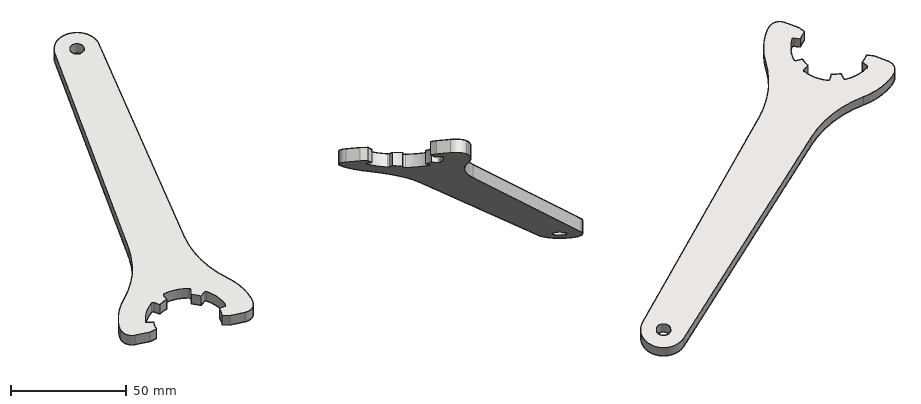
import cadquery as cq
import math

length = 185.0
thickness = 6.0
half_width = 30.0

end_radius = 10.0
hole_diameter = 6.3
handle_end_x = 122.8
handle_end_half_width = 12.5
tip_x = length - end_radius

flare_end = (152.6, 23.5)
shoulder_top_x = 167.8
corner_radius = 5.2

jaw_x = 171.9
jaw_radius = 18.5
tooth_tip_radius = 15.0
tooth_tip_half_width = 2.2
tooth_flank_angle = 17.0
tooth_angles = (90, 150, 210, 270)
root_fillet = 0.7


def half_plate():
    """Solid outline on the +Y side of the centre line, before the mouth is cut."""
    rise = handle_end_half_width
    distance = math.hypot(handle_end_x, rise)
    edge_angle = math.atan2(rise, handle_end_x) + math.acos(end_radius / distance)
    tangent_point = (end_radius * math.cos(edge_angle), end_radius * math.sin(edge_angle))
    middle_angle = (edge_angle + math.pi) / 2
    end_middle = (end_radius * math.cos(middle_angle), end_radius * math.sin(middle_angle))
    return (
        cq.Workplane("XY")
        .moveTo(-end_radius, 0)
        .threePointArc(end_middle, tangent_point)
        .lineTo(handle_end_x, handle_end_half_width)
        .tangentArcPoint(flare_end, relative=False)
        .tangentArcPoint((shoulder_top_x, half_width), relative=False)
        .lineTo(tip_x - corner_radius, half_width)
        .radiusArc((tip_x, half_width - corner_radius), corner_radius)
        .lineTo(tip_x, 0)
        .close()
        .extrude(thickness)
    )


def tooth(angle):
    """Tooth that widens from its tip circle out past the mouth wall."""
    outer = jaw_radius + 1.8
    flare = math.tan(math.radians(tooth_flank_angle))

    def half_width_at(radius):
        return tooth_tip_half_width + (radius - tooth_tip_radius) * flare

    inner = tooth_tip_radius - 1.8
    return (
        cq.Workplane("XY")
        .polyline([
            (inner, -half_width_at(inner)),
            (outer, -half_width_at(outer)),
            (outer, half_width_at(outer)),
            (inner, half_width_at(inner)),
        ])
        .close()
        .extrude(thickness)
        .rotate((0, 0, 0), (0, 0, 1), angle)
    )


def mouth():
    """Volume removed from the head, with the teeth left standing."""
    opening = cq.Workplane("XY").circle(jaw_radius).extrude(thickness)
    for angle in tooth_angles:
        opening = opening.cut(tooth(angle))
    core = cq.Workplane("XY").circle(tooth_tip_radius).extrude(thickness)
    wall_reach = jaw_radius - 0.2
    corners = [
        edge for edge in opening.edges("|Z").vals()
        if math.hypot(edge.Center().x, edge.Center().y) > wall_reach
        and edge.Center().x < 0
    ]
    opening = opening.newObject(corners).fillet(root_fillet)
    return opening.union(core).translate((jaw_x, 0, 0))


upper_half = half_plate()
plate = upper_half.union(upper_half.mirror("XZ"))
hanging_hole = cq.Workplane("XY").circle(hole_diameter / 2).extrude(thickness)
result = plate.cut(hanging_hole).cut(mouth())